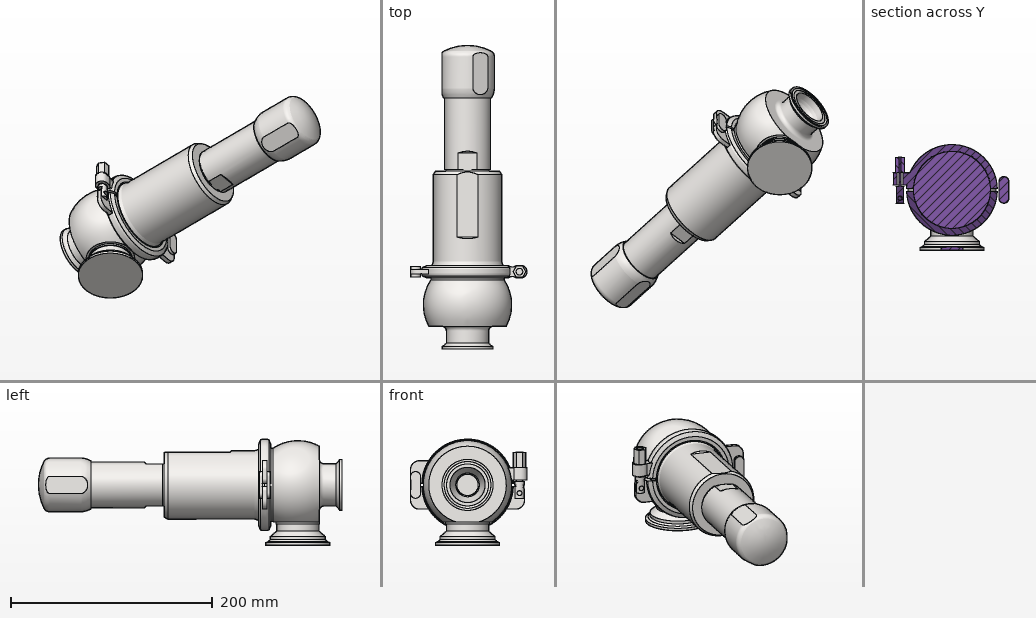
import cadquery as cq
import math


PIPE_RADIUS = 21.0
FLANGE_THICKNESS = 2.7
FLANGE_TAPER = 1.2
INLET_FLANGE_RADIUS = 25.3
INLET_HUB_RADIUS = 23.2
INLET_HUB_END = 6.0
INLET_FLARE_ROUND = 4.5
GASKET_GROOVE_INNER = 20.8
GASKET_GROOVE_OUTER = 23.2
GASKET_GROOVE_DEPTH = 1.2
BORE_MOUTH_RADIUS = 17.5
BORE_MOUTH_DEPTH = 7.2
BORE_RADIUS = 17.0
BORE_CONE_START = 10.8
BORE_CONE_END = 24.0
SEAT_RADIUS = 11.7
SEAT_STEP_RADIUS = 10.5
SEAT_STEP_DEPTH = 1.2

BALL_RADIUS = 44.0
BALL_CENTRE = 44.0
BALL_FRONT = 22.5
BALL_BOTTOM = -36.7
COLLAR_RADIUS = 36.5
OUTLET_END = -60.0
OUTLET_FLANGE_RADIUS = 32.0
OUTLET_HUB_RADIUS = 27.5
OUTLET_NECK_RADIUS = 29.2
OUTLET_COLLAR_RADIUS = 21.7
OUTLET_COLLAR_END = -38.8
OUTLET_CONE_TOP = -45.8
OUTLET_CONE_BOTTOM = -51.2
OUTLET_HUB_BOTTOM = -54.2

CLAMP_Y = 76.8
FERRULE_RADIUS = 40.3
FERRULE_RIM = 2.0
FERRULE_DEPTH = 4.0

BONNET_RADIUS = 34.0
BONNET_START = 86.7
BONNET_END = 176.5
BONNET_CHAMFER_LENGTH = 3.5
BONNET_CHAMFER_DEPTH = 2.0
BONNET_ROOT_RADIUS = 35.2
NAMEPLATE_WIDTH = 20.5
NAMEPLATE_START = 111.0

TUBE_RADIUS = 23.0
TUBE_START = 178.0
TUBE_NECK_RADIUS = 21.5
WRENCH_FLAT_WIDTH = 18.7
WRENCH_FLAT_END = 194.0

KNOB_RADIUS = 26.8
KNOB_START = 248.5
KNOB_FOOT_RADIUS = 23.8
KNOB_FOOT_ROUND = 24.0
KNOB_GRIP_START = 258.0
KNOB_GRIP_END = 289.5
KNOB_SHOULDER_RADIUS = 23.5
KNOB_SHOULDER = 295.3
KNOB_END = 301.0
GRIP_FLAT_WIDTH = 17.2
GRIP_FLAT_COUNT = 3

CLAMP_RADIUS = 45.5
CLAMP_BAND_WIDTH = 4.5
CLAMP_EDGE_RADIUS = 44.8
CLAMP_EDGE_WIDTH = 8.5
CLAMP_SIDE_RADIUS = 40.3
CLAMP_WIDTH = 12.3
CLAMP_GAP = 2.7
TAB_REACH = 56.5
TAB_HEIGHT = 24.0
TAB_ROOT = 33.0
TAB_OUTER_ROUND = 9.0
TAB_INNER_ROUND = 4.5

LINK_X = -51.5
LINK_WIDTH = 10.0
LINK_LENGTH = 26.5
LINK_THICKNESS = 3.0

BOLT_X = 51.5
BOLT_RADIUS = 3.3
BOLT_TOP = 32.8
LUG_RADIUS = 6.3
LUG_REACH = 59.0
LUG_SLOT = 2.7
LUG_BOTTOM = 4.8
LUG_TOP = 17.2
LUG_NECK_WIDTH = 9.5
FORK_RADIUS = 4.8
FORK_TOP = 3.5
FORK_BOTTOM = -13.2
FORK_SLOT_TOP = 0.0
PIVOT_Z = -8.0
PIVOT_RADIUS = 2.5
NUT_TOP = 32.2
NUT_SIDES = 6
NUT_CORNERS = 12.5


def flat_distance(radius, width):
    """Distance from the axis to a flat of the given width on a cylinder."""
    return math.sqrt(radius**2 - (width / 2) ** 2)


def turned(profile):
    """Solid of revolution about the Y axis of a (radius, y) profile drawn above the axis."""
    return profile.close().revolve(360, (0, 0, 0), (0, 1, 0))


def cylinder_z(x, y, radius, bottom, top):
    return cq.Workplane("XY", origin=(x, y, bottom)).circle(radius).extrude(top - bottom)


def cylinder_y(x, z, radius, length):
    """Cylinder along Y, centred on the clamp plane."""
    return cq.Workplane("XZ", origin=(x, CLAMP_Y, z)).circle(radius).extrude(length / 2, both=True)


def make_body():
    ball_front_radius = math.sqrt(BALL_RADIUS**2 - (BALL_CENTRE - BALL_FRONT) ** 2)
    collar_start = BALL_CENTRE + math.sqrt(BALL_RADIUS**2 - COLLAR_RADIUS**2)
    rim_start = CLAMP_Y - FERRULE_RIM
    ball = turned(
        cq.Workplane("ZY")
        .moveTo(0, BALL_FRONT)
        .lineTo(ball_front_radius, BALL_FRONT)
        .threePointArc((BALL_RADIUS, BALL_CENTRE), (COLLAR_RADIUS, collar_start))
        .lineTo(COLLAR_RADIUS, CLAMP_Y - FERRULE_DEPTH)
        .lineTo(FERRULE_RADIUS, rim_start)
        .lineTo(FERRULE_RADIUS, CLAMP_Y)
        .lineTo(0, CLAMP_Y)
    )
    below_ball = (
        cq.Workplane("XY")
        .box(2 * BALL_RADIUS, collar_start, BALL_RADIUS, centered=(True, False, False))
        .translate((0, 0, BALL_BOTTOM - BALL_RADIUS))
    )
    ball = ball.cut(below_ball)
    return ball.union(inlet_neck()).union(outlet_neck()).cut(inlet_bore()).cut(gasket_groove())


def inlet_neck():
    return turned(
        cq.Workplane("ZY")
        .lineTo(INLET_FLANGE_RADIUS, 0)
        .lineTo(INLET_FLANGE_RADIUS, FLANGE_THICKNESS)
        .lineTo(INLET_HUB_RADIUS, FLANGE_THICKNESS + FLANGE_TAPER)
        .lineTo(PIPE_RADIUS, INLET_HUB_END)
        .lineTo(PIPE_RADIUS, BALL_FRONT - INLET_FLARE_ROUND)
        .tangentArcPoint((PIPE_RADIUS + INLET_FLARE_ROUND, BALL_FRONT), relative=False)
        .lineTo(0, BALL_FRONT)
    )


def inlet_bore():
    return turned(
        cq.Workplane("ZY")
        .lineTo(BORE_MOUTH_RADIUS, 0)
        .lineTo(BORE_MOUTH_RADIUS, BORE_MOUTH_DEPTH)
        .lineTo(BORE_RADIUS, BORE_CONE_START)
        .lineTo(SEAT_RADIUS, BORE_CONE_END)
        .lineTo(SEAT_STEP_RADIUS, BORE_CONE_END + SEAT_STEP_DEPTH)
        .lineTo(0, BORE_CONE_END + SEAT_STEP_DEPTH)
    )


def gasket_groove():
    """Ring groove with a half-round section in the inlet face."""
    return turned(
        cq.Workplane("ZY")
        .moveTo(GASKET_GROOVE_INNER, 0)
        .threePointArc(
            ((GASKET_GROOVE_INNER + GASKET_GROOVE_OUTER) / 2, GASKET_GROOVE_DEPTH),
            (GASKET_GROOVE_OUTER, 0),
        )
    )


def outlet_neck():
    flange_top = OUTLET_END + FLANGE_THICKNESS
    return (
        cq.Workplane("YZ", origin=(0, BALL_CENTRE, 0))
        .moveTo(0, OUTLET_END)
        .lineTo(OUTLET_FLANGE_RADIUS, OUTLET_END)
        .lineTo(OUTLET_FLANGE_RADIUS, flange_top)
        .lineTo(OUTLET_NECK_RADIUS, flange_top + FLANGE_TAPER)
        .lineTo(OUTLET_HUB_RADIUS, OUTLET_HUB_BOTTOM)
        .lineTo(OUTLET_HUB_RADIUS, OUTLET_CONE_BOTTOM)
        .lineTo(PIPE_RADIUS, OUTLET_CONE_TOP)
        .lineTo(PIPE_RADIUS, OUTLET_COLLAR_END)
        .lineTo(OUTLET_COLLAR_RADIUS, OUTLET_COLLAR_END)
        .lineTo(OUTLET_COLLAR_RADIUS, BALL_BOTTOM)
        .lineTo(0, BALL_BOTTOM)
        .close()
        .revolve(360, (0, 0, 0), (0, 1, 0))
    )


def flat_cutter(radius, width, start, end, slope_start, slope_end):
    """Cutter for a flat on the +Z side of a cylinder about Y, from y = start to y = end.

    A slope of 1 makes that end rise outwards at 45 degrees; a slope of 0 leaves it square.
    """
    floor = flat_distance(radius, width)
    low = start - radius * slope_start
    high = end + radius * slope_end
    return (
        cq.Workplane("YZ")
        .polyline([(start, floor), (end, floor), (high, floor + radius), (low, floor + radius)])
        .close()
        .extrude(radius, both=True)
    )


def make_bonnet():
    shell = turned(
        cq.Workplane("ZY")
        .moveTo(0, CLAMP_Y)
        .lineTo(FERRULE_RADIUS, CLAMP_Y)
        .lineTo(FERRULE_RADIUS, CLAMP_Y + FERRULE_RIM)
        .lineTo(COLLAR_RADIUS, CLAMP_Y + FERRULE_DEPTH)
        .lineTo(COLLAR_RADIUS, CLAMP_Y + CLAMP_WIDTH / 2)
        .lineTo(BONNET_ROOT_RADIUS, CLAMP_Y + CLAMP_WIDTH / 2)
        .lineTo(BONNET_RADIUS, BONNET_START)
        .lineTo(BONNET_RADIUS, BONNET_END - BONNET_CHAMFER_LENGTH)
        .lineTo(BONNET_RADIUS - BONNET_CHAMFER_DEPTH, BONNET_END)
        .lineTo(0, BONNET_END)
    )
    nameplate = flat_cutter(BONNET_RADIUS, NAMEPLATE_WIDTH, NAMEPLATE_START, BONNET_END, 1, 0)
    return shell.cut(nameplate)


def make_cap_tube():
    tube = turned(
        cq.Workplane("ZY")
        .moveTo(0, BONNET_END)
        .lineTo(TUBE_NECK_RADIUS, BONNET_END)
        .lineTo(TUBE_NECK_RADIUS, TUBE_START)
        .lineTo(TUBE_RADIUS, TUBE_START)
        .lineTo(TUBE_RADIUS, KNOB_START)
        .lineTo(0, KNOB_START)
    )
    flat = flat_cutter(TUBE_RADIUS, WRENCH_FLAT_WIDTH, BONNET_END, WRENCH_FLAT_END, 0, 1)
    for angle in (0, 180):
        tube = tube.cut(flat.rotate((0, 0, 0), (0, 1, 0), angle))
    return tube


def make_knob():
    dome_height = KNOB_END - KNOB_SHOULDER
    dome_round = (KNOB_SHOULDER_RADIUS**2 + dome_height**2) / (2 * dome_height)
    knob = turned(
        cq.Workplane("ZY")
        .moveTo(0, KNOB_START)
        .lineTo(KNOB_FOOT_RADIUS, KNOB_START)
        .radiusArc((KNOB_RADIUS, KNOB_GRIP_START), -KNOB_FOOT_ROUND)
        .lineTo(KNOB_RADIUS, KNOB_GRIP_END)
        .tangentArcPoint((KNOB_SHOULDER_RADIUS, KNOB_SHOULDER), relative=False)
        .radiusArc((0, KNOB_END), -dome_round)
    )
    floor = flat_distance(KNOB_RADIUS, GRIP_FLAT_WIDTH)
    grip_flat = (
        cq.Workplane("XY")
        .box(KNOB_RADIUS, KNOB_END - KNOB_START, 2 * KNOB_RADIUS, centered=(False, False, True))
        .translate((floor, KNOB_START, 0))
    )
    for i in range(GRIP_FLAT_COUNT):
        angle = 180 + i * 360 / GRIP_FLAT_COUNT
        knob = knob.cut(grip_flat.rotate((0, 0, 0), (0, 1, 0), angle))
    return knob


def upper_half_space():
    """Box above the split plane, leaving half of the gap between the clamp halves."""
    size = 3 * CLAMP_RADIUS
    return (
        cq.Workplane("XY")
        .box(size, size, size, centered=(True, True, False))
        .translate((0, CLAMP_Y, CLAMP_GAP / 2))
    )


def ferrule_space():
    """Space taken by the two ferrules inside the clamp."""
    return turned(
        cq.Workplane("ZY")
        .moveTo(0, CLAMP_Y - CLAMP_WIDTH)
        .lineTo(COLLAR_RADIUS, CLAMP_Y - CLAMP_WIDTH)
        .lineTo(COLLAR_RADIUS, CLAMP_Y - FERRULE_DEPTH)
        .lineTo(FERRULE_RADIUS, CLAMP_Y - FERRULE_RIM)
        .lineTo(FERRULE_RADIUS, CLAMP_Y + FERRULE_RIM)
        .lineTo(COLLAR_RADIUS, CLAMP_Y + FERRULE_DEPTH)
        .lineTo(COLLAR_RADIUS, CLAMP_Y + CLAMP_WIDTH)
        .lineTo(0, CLAMP_Y + CLAMP_WIDTH)
    )


def clamp_half_ring():
    """Upper half of the clamp ring, not yet hollowed for the ferrules."""
    half_outline = [
        (CLAMP_SIDE_RADIUS, CLAMP_WIDTH / 2),
        (CLAMP_EDGE_RADIUS, CLAMP_EDGE_WIDTH / 2),
        (CLAMP_RADIUS, CLAMP_BAND_WIDTH / 2),
    ]
    front = [(radius, CLAMP_Y - offset) for radius, offset in half_outline]
    back = [(radius, CLAMP_Y + offset) for radius, offset in reversed(half_outline)]
    outline = [(0, CLAMP_Y - CLAMP_WIDTH / 2), *front, *back, (0, CLAMP_Y + CLAMP_WIDTH / 2)]
    return turned(cq.Workplane("ZY").polyline(outline)).intersect(upper_half_space())


def clamp_tab(side):
    """Upper tab on the +X (side = 1) or -X (side = -1) end of a half ring."""
    length = TAB_REACH - TAB_ROOT
    height = TAB_HEIGHT - CLAMP_GAP / 2
    tab = (
        cq.Workplane("XY")
        .box(length, CLAMP_BAND_WIDTH, height, centered=(False, True, False))
        .translate((TAB_ROOT, CLAMP_Y, CLAMP_GAP / 2))
    )
    tab = tab.edges(">X and >Z").fillet(TAB_OUTER_ROUND)
    tab = tab.edges(">X and <Z").fillet(TAB_INNER_ROUND)
    return tab if side > 0 else tab.mirror("YZ")


def bolt_lug():
    """Rounded lug on the upper half, with a neck to the ring and a slot for the swing bolt."""
    lug_centre = LUG_REACH - LUG_RADIUS - LUG_SLOT / 2
    base = cq.Workplane("XY", origin=(0, CLAMP_Y, LUG_BOTTOM))
    height = LUG_TOP - LUG_BOTTOM
    lug = base.center(lug_centre, 0).slot2D(LUG_SLOT + 2 * LUG_RADIUS, 2 * LUG_RADIUS).extrude(height)
    neck = base.center((TAB_ROOT + BOLT_X) / 2, 0).rect(BOLT_X - TAB_ROOT, LUG_NECK_WIDTH).extrude(height)
    slot = base.center(lug_centre, 0).slot2D(LUG_SLOT + 2 * BOLT_RADIUS, 2 * BOLT_RADIUS).extrude(height)
    return lug.union(neck).cut(slot)


def make_upper_clamp():
    return clamp_half_ring().union(clamp_tab(-1)).union(bolt_lug()).cut(ferrule_space())


def make_lower_clamp():
    """Plain half with two tabs; the +X tab carries the pivot of the swing bolt."""
    half = clamp_half_ring().union(clamp_tab(-1)).union(clamp_tab(1)).mirror("XY")
    return half.union(cylinder_y(BOLT_X, PIVOT_Z, PIVOT_RADIUS, 2 * FORK_RADIUS)).cut(ferrule_space())


def make_link(side):
    """Plate in front of (side = -1) or behind (side = 1) the hinge tabs."""
    centre = CLAMP_Y + side * (CLAMP_BAND_WIDTH + LINK_THICKNESS) / 2
    return (
        cq.Workplane("XZ", origin=(LINK_X, centre, 0))
        .slot2D(LINK_LENGTH, LINK_WIDTH, 90)
        .extrude(LINK_THICKNESS / 2, both=True)
    )


def make_swing_bolt():
    shank = cylinder_z(BOLT_X, CLAMP_Y, BOLT_RADIUS, FORK_TOP, BOLT_TOP)
    fork = cylinder_z(BOLT_X, CLAMP_Y, FORK_RADIUS, FORK_BOTTOM, FORK_TOP)
    slot = (
        cq.Workplane("XY")
        .box(2 * FORK_RADIUS, CLAMP_BAND_WIDTH, FORK_SLOT_TOP - FORK_BOTTOM, centered=(True, True, False))
        .translate((BOLT_X, CLAMP_Y, FORK_BOTTOM))
    )
    pivot_hole = cylinder_y(BOLT_X, PIVOT_Z, PIVOT_RADIUS, 2 * FORK_RADIUS)
    return shank.union(fork).cut(slot).cut(pivot_hole)


def make_nut():
    return (
        cq.Workplane("XY", origin=(BOLT_X, CLAMP_Y, LUG_TOP))
        .polygon(NUT_SIDES, NUT_CORNERS)
        .circle(BOLT_RADIUS)
        .extrude(NUT_TOP - LUG_TOP)
    )


body = make_body()
bonnet = make_bonnet()
cap_tube = make_cap_tube()
knob = make_knob()
upper_clamp = make_upper_clamp()
lower_clamp = make_lower_clamp()
links = [make_link(side) for side in (-1, 1)]
swing_bolt = make_swing_bolt()
nut = make_nut()

result = cq.Compound.makeCompound(
    [
        body.val(),
        bonnet.val(),
        cap_tube.val(),
        knob.val(),
        upper_clamp.val(),
        lower_clamp.val(),
        *[link.val() for link in links],
        swing_bolt.val(),
        nut.val(),
    ]
)